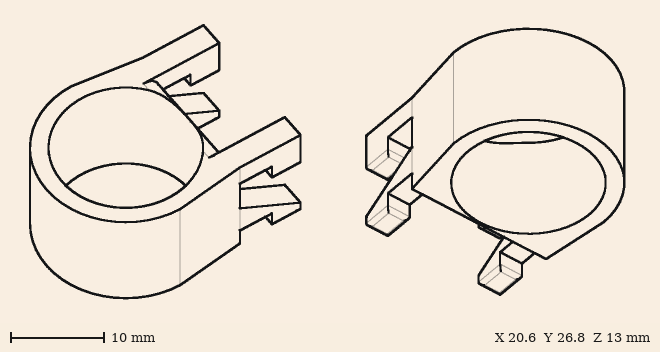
import cadquery as cq
import math

height = 13.0
bore_diameter = 16.6
ring_outer_radius = 10.3

back_y = 8.56
arm_tip_y = 16.45
fork_width = 18.4
arm_thickness = 3.0
arm_gap = fork_width - 2 * arm_thickness

hook_length = 3.75
hook_rounding = 0.5
upper_hook_bottom_z = 8.0
lower_hook_bottom_z = 0.0
hook_drop = 2.2

lower_arm_root_z = 6.0
lower_arm_slope = math.radians(30)
lower_arm_tip_z = lower_arm_root_z - (arm_tip_y - back_y) * math.tan(lower_arm_slope)

wall_rounding = 2.0


def make_body():
    """Round front with flanks that taper to the flat back."""
    half_fork = fork_width / 2
    return (
        cq.Workplane("XY")
        .moveTo(-ring_outer_radius, 0)
        .threePointArc((0, -ring_outer_radius), (ring_outer_radius, 0))
        .lineTo(half_fork, back_y)
        .lineTo(-half_fork, back_y)
        .close()
        .extrude(height)
    )


def round_wall_top(body):
    """Round the top back edge of the wall across the gap between the arms."""
    corner_y = back_y - wall_rounding
    corner_z = height - wall_rounding
    diagonal = wall_rounding * math.sqrt(0.5)
    waste = (
        cq.Workplane("YZ", origin=(-arm_gap / 2, 0, 0))
        .moveTo(corner_y, height)
        .threePointArc((corner_y + diagonal, corner_z + diagonal), (back_y, corner_z))
        .lineTo(back_y, height)
        .close()
        .extrude(arm_gap)
    )
    return body.cut(waste)


def make_arm(left_x, hook_bottom_z, root_top_z, tip_top_z):
    """Hooked arm reaching back from the body, rounded under its hook."""
    arm_bottom_z = hook_bottom_z + hook_drop
    hook_y = arm_tip_y - hook_length
    return (
        cq.Workplane("YZ", origin=(left_x, 0, 0))
        .moveTo(back_y, root_top_z)
        .lineTo(arm_tip_y, tip_top_z)
        .lineTo(arm_tip_y, hook_bottom_z)
        .lineTo(hook_y, hook_bottom_z)
        .lineTo(hook_y, arm_bottom_z)
        .lineTo(back_y, arm_bottom_z)
        .close()
        .extrude(arm_thickness)
        .faces("<Z")
        .edges()
        .fillet(hook_rounding)
    )


def make_bore():
    """Through bore of the ring."""
    return cq.Workplane("XY").circle(bore_diameter / 2).extrude(height)


part = round_wall_top(make_body())
for arm_left_x in (-fork_width / 2, arm_gap / 2):
    upper_arm = make_arm(arm_left_x, upper_hook_bottom_z, height, height)
    lower_arm = make_arm(arm_left_x, lower_hook_bottom_z, lower_arm_root_z, lower_arm_tip_z)
    part = part.union(upper_arm).union(lower_arm)

result = part.cut(make_bore())